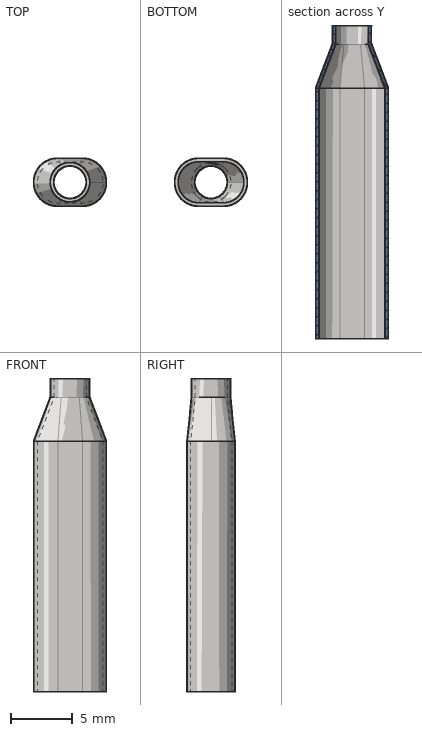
import cadquery as cq

total_length = 25.4
body_length = 20.32
neck_length = 1.5
body_width = 5.92
body_depth = 3.9
neck_diameter = 3.2
bore_diameter = 2.62

wall = (neck_diameter - bore_diameter) / 2
shoulder_length = total_length - body_length - neck_length
shoulder_top = body_length + shoulder_length


def slot_prism(inset, length):
    """Upright prism with a round-ended outline, inset from the outer surface."""
    return cq.Workplane("XY").slot2D(body_width - 2 * inset, body_depth - 2 * inset).extrude(length)


def shoulder_solid(inset):
    """Transition from the round-ended body outline to the round neck."""
    return (
        cq.Workplane("XY", origin=(0, 0, body_length))
        .slot2D(body_width - 2 * inset, body_depth - 2 * inset)
        .workplane(offset=shoulder_length)
        .circle(neck_diameter / 2 - inset)
        .loft(combine=True)
    )


def neck_cylinder(diameter):
    """Round prism that fills the height of the neck."""
    return cq.Workplane("XY", origin=(0, 0, shoulder_top)).circle(diameter / 2).extrude(neck_length)


def make_sleeve():
    """Straight round-ended tube, open at both ends."""
    return slot_prism(0, body_length).cut(slot_prism(wall, body_length))


def make_nozzle():
    """Hollow shoulder and neck that sit on the top rim of the sleeve."""
    outside = shoulder_solid(0).union(neck_cylinder(neck_diameter))
    return outside.cut(shoulder_solid(wall)).cut(neck_cylinder(bore_diameter))


sleeve = make_sleeve()
nozzle = make_nozzle()

result = cq.Compound.makeCompound([sleeve.val(), nozzle.val()])